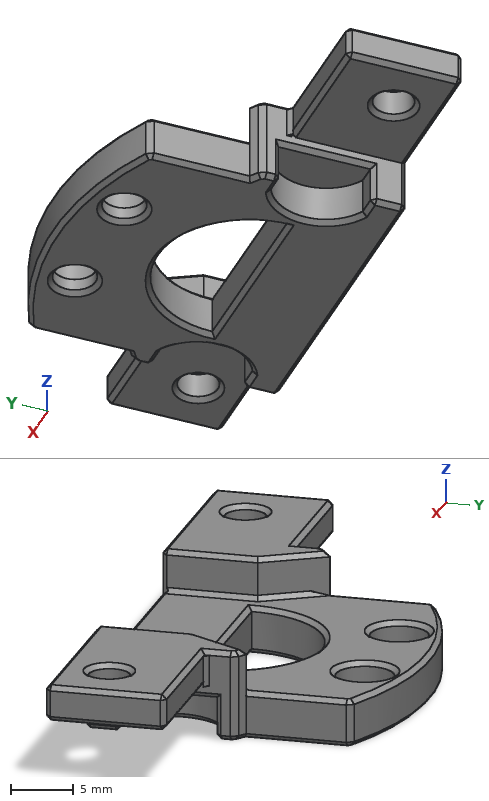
import cadquery as cq
import math

length = 51.5
depth = 25.05
height = 7.5
chamfer = 0.4
tolerance = 0.005

ear_depth = 10.0
ear_thickness = 3.0
ear_hole_diameter = 3.4
ear_hole_x = 20.75
ear_hole_y = 3.95

floor_thickness = 3.95
wall_x = 9.75
wall_thickness = 4.0
wall_bend_y = 8.0
slant_length = 6.0
slant_angle = math.radians(60)
shoulder_y = 12.5
crown_radius = 27.5

window_radius = 8.0

bore_x = 5.25
bore_y = 21.0
bore_diameter = 3.6
counterbore_diameter = 4.8
counterbore_depth = 2.5

pocket_width = 8.0
pocket_radius = 4.5
pocket_y = 6.95
pocket_height = 3.5

counterbore_bottom = floor_thickness - counterbore_depth
ear_bottom = height - ear_thickness
neck_x = wall_x + wall_thickness
tip_x = wall_x + slant_length * math.cos(slant_angle)
tip_y = wall_bend_y + slant_length * math.sin(slant_angle)
crown_center_y = depth - crown_radius
crown_end_y = crown_center_y + math.sqrt(crown_radius**2 - tip_x**2)


def mirrored(solid):
    """The solid together with its mirror image across the YZ plane."""
    return solid.union(solid.mirror("YZ"))


def plate():
    """Floor with a crowned back edge."""
    return (
        cq.Workplane("XY")
        .moveTo(-tip_x, 0)
        .lineTo(tip_x, 0)
        .lineTo(tip_x, crown_end_y)
        .threePointArc((0, depth), (-tip_x, crown_end_y))
        .close()
        .extrude(floor_thickness)
    )


def wall():
    """Full-height wall with a slanted inner face."""
    outline = [
        (wall_x, 0),
        (neck_x, 0),
        (neck_x, shoulder_y),
        (tip_x, tip_y),
        (wall_x, wall_bend_y),
    ]
    return cq.Workplane("XY").polyline(outline).close().extrude(height)


def ear():
    return (
        cq.Workplane("XY", origin=(0, 0, ear_bottom))
        .moveTo(tip_x, 0)
        .lineTo(length / 2, 0)
        .lineTo(length / 2, ear_depth)
        .lineTo(tip_x, ear_depth)
        .close()
        .extrude(ear_thickness)
    )


def pocket():
    """Straight-sided slot into the outer side of a wall, with a shallow round inner end."""
    slot = (
        cq.Workplane("XY")
        .center(neck_x, pocket_y)
        .rect(2 * pocket_radius, pocket_width)
        .extrude(pocket_height)
    )
    round_end = cq.Workplane("XY").center(neck_x, pocket_y).circle(pocket_radius).extrude(pocket_height)
    return slot.intersect(round_end)


def window():
    """Half-round through opening with its flat towards the front."""
    return (
        cq.Workplane("XY")
        .moveTo(-window_radius, wall_bend_y)
        .threePointArc((0, wall_bend_y + window_radius), (window_radius, wall_bend_y))
        .close()
        .extrude(floor_thickness)
    )


def at(value, place):
    return abs(value - place) < tolerance


def is_wall_foot(edge):
    """True for the inside corners between the floor and the inner wall faces."""
    middle = edge.Center()
    under_wall = abs(middle.x) > wall_x - tolerance and middle.y < tip_y
    return under_wall and at(middle.z, floor_thickness)


def is_sharp_upright(edge):
    """True for the upright edges at the wall bends, wall tips, window corners and ear backs."""
    middle = edge.Center()
    places = [
        (wall_x, wall_bend_y),
        (tip_x, tip_y),
        (window_radius, wall_bend_y),
        (neck_x, ear_depth),
    ]
    upright = edge.BoundingBox().zlen > chamfer
    return upright and any(at(abs(middle.x), x) and at(middle.y, y) for x, y in places)


def is_inside_pocket(edge):
    """True for the edges of a pocket that lie deeper than its openings."""
    middle = edge.Center()
    beyond_wall_side = abs(middle.x) < neck_x - tolerance
    upright_side = at(abs(middle.y - pocket_y), pocket_width / 2) and middle.z > tolerance
    return beyond_wall_side and (upright_side or at(middle.z, pocket_height))


def is_under_ear(edge):
    middle = edge.Center()
    return at(abs(middle.x), neck_x) and at(middle.z, ear_bottom)


def is_outer(edge):
    """True for the outside edges, which all carry a chamfer."""
    inner = is_wall_foot(edge) or is_inside_pocket(edge) or is_under_ear(edge)
    return not (inner or is_sharp_upright(edge))


def ear_gusset():
    """Small triangular prism that fills the corner between an ear back and its wall."""
    return (
        cq.Workplane("XY", origin=(neck_x, ear_depth, ear_bottom))
        .polyline([(0, 0), (chamfer, 0), (0, chamfer)])
        .close()
        .extrude(ear_thickness - chamfer)
    )


def hole(x, y, bottom, top, diameter):
    """Round cutter between two heights."""
    return cq.Workplane("XY", origin=(x, y, bottom)).circle(diameter / 2).extrude(top - bottom)


def rim(x, y, z, diameter, inward):
    """Cone that chamfers a hole rim at height z; inward is 1 upwards or -1 downwards."""
    outer_radius = diameter / 2 + chamfer
    cone = cq.Solid.makeCone(
        outer_radius, diameter / 2, chamfer, cq.Vector(x, y, z), cq.Vector(0, 0, inward)
    )
    return cq.Workplane(cone)


def ear_hole():
    x, y, diameter = ear_hole_x, ear_hole_y, ear_hole_diameter
    return (
        hole(x, y, ear_bottom, height, diameter)
        .union(rim(x, y, height, diameter, -1))
        .union(rim(x, y, ear_bottom, diameter, 1))
    )


def counterbored_hole():
    return (
        hole(bore_x, bore_y, 0, floor_thickness, bore_diameter)
        .union(hole(bore_x, bore_y, counterbore_bottom, floor_thickness, counterbore_diameter))
        .union(rim(bore_x, bore_y, floor_thickness, counterbore_diameter, -1))
        .union(rim(bore_x, bore_y, 0, bore_diameter, 1))
    )


body = plate().union(mirrored(wall().union(ear()))).clean()
body = body.cut(window()).cut(mirrored(pocket()))

outer_edges = [edge for edge in body.edges().vals() if is_outer(edge)]
body = body.newObject(outer_edges).chamfer(chamfer)
wall_feet = [edge for edge in body.edges().vals() if is_wall_foot(edge)]
body = body.newObject(wall_feet).chamfer(chamfer)
body = body.union(mirrored(ear_gusset()))

result = body.cut(mirrored(ear_hole())).cut(mirrored(counterbored_hole()))